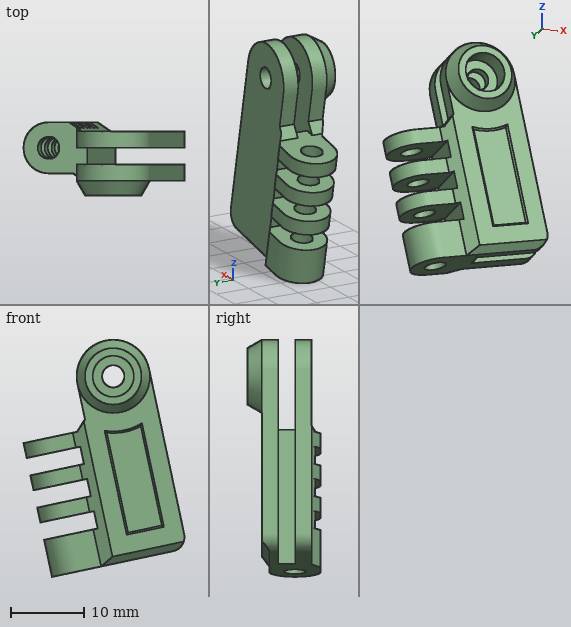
import cadquery as cq
import math

TILT = 12.0

LEG = 2.25
SLOT = 2.25
BACK_Y = LEG
SLOT_BACK_Y = BACK_Y - LEG
SLOT_FRONT_Y = SLOT_BACK_Y - SLOT
FRONT_Y = SLOT_FRONT_Y - LEG
EYE_R = 5.0
BOTTOM_Z = -25.01
CORNER_R = 2.0

PIVOT_D = 3.0
BOSS_HEIGHT = 2.0
BOSS_ANGLE = 30.0
COUNTERBORE_D = 5.6
COUNTERBORE_DEPTH = 3.0

KNUCKLE_R = 3.5
KNUCKLE_X = -10.36
KNUCKLE_HOLE_D = 3.0
KNUCKLE_TOP_Z = -6.35
KNUCKLE_PITCH = 4.49
KNUCKLE_THICKNESS = 2.1
GAP_COUNT = 3
GAP_FLOOR_X = -6.4

BACK_FLANK_X = (-7.5, -5.65)
FRONT_FLANK_X = (-7.0, -5.2)
BOTTOM_CHAMFER = 1.0

POCKET_MARGIN = 2.5
POCKET_BOTTOM_Z = -21.5
POCKET_TOP_R = 7.5
POCKET_DEPTH = 0.25
POCKET_INSET = POCKET_DEPTH


def facing_front(y):
    """Workplane at the given Y whose normal points to the front (-Y)."""
    return cq.Workplane("XZ", origin=(0, y, 0))


def leg(front_y):
    """One fork leg: a rounded eye on a straight bar with one rounded lower corner."""
    return (
        facing_front(front_y + LEG)
        .moveTo(-EYE_R, 0)
        .threePointArc((0, EYE_R), (EYE_R, 0))
        .lineTo(EYE_R, BOTTOM_Z + CORNER_R)
        .radiusArc((EYE_R - CORNER_R, BOTTOM_Z), CORNER_R)
        .lineTo(-EYE_R, BOTTOM_Z)
        .close()
        .extrude(LEG)
    )


def web():
    """Block joining the legs on the hinge side, with a 45 degree gusset rising to each leg."""
    gusset_top_z = KNUCKLE_TOP_Z + (-EYE_R - GAP_FLOOR_X)
    outline = (
        cq.Workplane("XY", origin=(0, 0, BOTTOM_Z))
        .polyline([
            (-EYE_R, BACK_Y),
            (BACK_FLANK_X[1], BACK_Y),
            (BACK_FLANK_X[0], KNUCKLE_R),
            (BACK_FLANK_X[0], -KNUCKLE_R),
            (FRONT_FLANK_X[0], -KNUCKLE_R),
            (FRONT_FLANK_X[1], FRONT_Y),
            (-EYE_R, FRONT_Y),
        ])
        .close()
        .extrude(gusset_top_z - BOTTOM_Z)
    )
    side = (
        facing_front(KNUCKLE_R)
        .polyline([
            (-EYE_R, BOTTOM_Z),
            (-EYE_R, gusset_top_z),
            (GAP_FLOOR_X, KNUCKLE_TOP_Z),
            (BACK_FLANK_X[0], KNUCKLE_TOP_Z),
            (BACK_FLANK_X[0], BOTTOM_Z),
        ])
        .close()
        .extrude(KNUCKLE_R - FRONT_Y)
    )
    slot_length = 2 * EYE_R
    slot_above_web = (
        cq.Workplane("XY", origin=(-EYE_R, (SLOT_BACK_Y + SLOT_FRONT_Y) / 2, KNUCKLE_TOP_Z))
        .rect(slot_length, SLOT)
        .extrude(slot_length)
    )
    return outline.intersect(side).cut(slot_above_web)


def knuckle_column():
    """Round-ended column from which the knuckles are cut."""
    height = KNUCKLE_TOP_Z - BOTTOM_Z
    base = cq.Workplane("XY", origin=(KNUCKLE_X, 0, BOTTOM_Z))
    reach = BACK_FLANK_X[0] - KNUCKLE_X
    bar = base.center(reach / 2, 0).rect(reach, 2 * KNUCKLE_R).extrude(height)
    return base.circle(KNUCKLE_R).extrude(height).union(bar)


def knuckle_gap(index):
    """Space below one knuckle, cut a little way into the web."""
    gap_top_z = KNUCKLE_TOP_Z - index * KNUCKLE_PITCH - KNUCKLE_THICKNESS
    gap_height = KNUCKLE_PITCH - KNUCKLE_THICKNESS
    outer_x = KNUCKLE_X - KNUCKLE_R
    return (
        facing_front(KNUCKLE_R)
        .moveTo((outer_x + GAP_FLOOR_X) / 2, gap_top_z - gap_height / 2)
        .rect(GAP_FLOOR_X - outer_x, gap_height)
        .extrude(KNUCKLE_R - FRONT_Y)
    )


def knuckle_bore():
    return (
        cq.Workplane("XY", origin=(KNUCKLE_X, 0, BOTTOM_Z))
        .circle(KNUCKLE_HOLE_D / 2)
        .extrude(KNUCKLE_TOP_Z - BOTTOM_Z)
    )


def bottom_chamfer():
    """Wedge removed along the lower front edge."""
    return (
        cq.Workplane("YZ", origin=(FRONT_FLANK_X[0], 0, 0))
        .polyline([
            (FRONT_Y, BOTTOM_Z),
            (FRONT_Y + BOTTOM_CHAMFER, BOTTOM_Z),
            (FRONT_Y, BOTTOM_Z + BOTTOM_CHAMFER),
        ])
        .close()
        .extrude(EYE_R - FRONT_FLANK_X[0])
    )


def boss():
    """Cone frustum on the front of the eye."""
    tip_r = EYE_R - BOSS_HEIGHT * math.tan(math.radians(BOSS_ANGLE))
    return cq.Workplane(
        cq.Solid.makeCone(EYE_R, tip_r, BOSS_HEIGHT, cq.Vector(0, FRONT_Y, 0), cq.Vector(0, -1, 0))
    )


def pivot_bore():
    """Through hole for the pivot with a counterbore entering from the boss."""
    boss_y = FRONT_Y - BOSS_HEIGHT
    hole = facing_front(BACK_Y).circle(PIVOT_D / 2).extrude(BACK_Y - boss_y)
    counterbore = (
        facing_front(boss_y + COUNTERBORE_DEPTH)
        .circle(COUNTERBORE_D / 2)
        .extrude(COUNTERBORE_DEPTH)
    )
    return hole.union(counterbore)


def pocket_outline(y, inset):
    """Pocket outline at the given Y, shrunk evenly by the inset."""
    left_x = FRONT_FLANK_X[1] + POCKET_MARGIN + inset
    right_x = EYE_R - POCKET_MARGIN - inset
    bottom_z = POCKET_BOTTOM_Z + inset
    top_r = POCKET_TOP_R + inset
    return (
        facing_front(y)
        .moveTo(left_x, bottom_z)
        .lineTo(right_x, bottom_z)
        .lineTo(right_x, -math.sqrt(top_r**2 - right_x**2))
        .threePointArc((0, -top_r), (left_x, -math.sqrt(top_r**2 - left_x**2)))
        .close()
    )


def pocket():
    floor = pocket_outline(FRONT_Y + POCKET_DEPTH, POCKET_INSET).wire().val()
    mouth = pocket_outline(FRONT_Y, 0).wire().val()
    return cq.Workplane(cq.Solid.makeLoft([floor, mouth], True))


body = leg(SLOT_BACK_Y).union(leg(FRONT_Y)).union(web()).union(knuckle_column()).union(boss())
for gap_index in range(GAP_COUNT):
    body = body.cut(knuckle_gap(gap_index))
body = body.cut(knuckle_bore()).cut(bottom_chamfer()).cut(pivot_bore()).cut(pocket())

result = body.rotate((0, 0, 0), (0, 1, 0), -TILT)